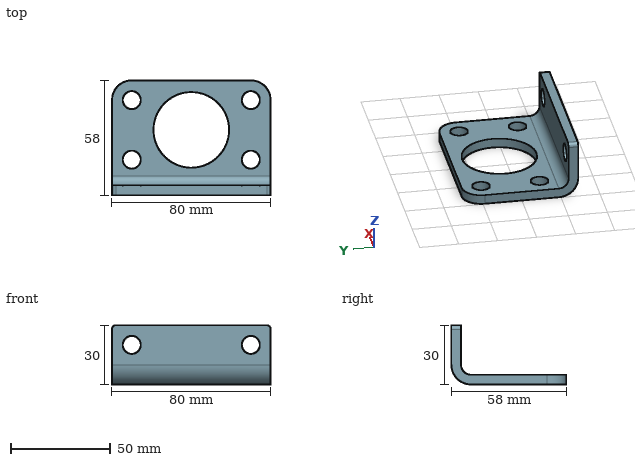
import cadquery as cq

width = 80.0
depth = 58.0
height = 30.0

bend_outer_radius = 10.0
thickness = bend_outer_radius / 2
bend_inner_radius = bend_outer_radius - thickness

base_corner_radius = 10.0
flange_corner_radius = 2.0

bolt_diameter = 9.0
bolt_edge_distance = 10.0
base_bolt_pitch_y = 30.0
bore_diameter = 38.0

bolt_x = width / 2 - bolt_edge_distance
rear_bolt_y = depth - bolt_edge_distance
front_bolt_y = rear_bolt_y - base_bolt_pitch_y
bore_y = (rear_bolt_y + front_bolt_y) / 2
flange_bolt_z = height - bolt_edge_distance


def bent_sheet():
    """L-shaped sheet, extruded along X; outer flange face at Y=0, underside at Z=0."""
    profile = (
        cq.Workplane("YZ")
        .moveTo(0, height)
        .lineTo(thickness, height)
        .lineTo(thickness, bend_outer_radius)
        .radiusArc((bend_outer_radius, thickness), -bend_inner_radius)
        .lineTo(depth, thickness)
        .lineTo(depth, 0)
        .lineTo(bend_outer_radius, 0)
        .radiusArc((0, bend_outer_radius), bend_outer_radius)
        .close()
    )
    return profile.extrude(width / 2, both=True)


def round_corners(body):
    """Round the rear base corners and the upper flange corners."""
    body = body.faces(">Y").edges("|Z").fillet(base_corner_radius)
    return body.faces(">Z").edges("|Y").fillet(flange_corner_radius)


def base_holes():
    """Cutters for the central bore and the four bolt holes around it."""
    bolt_points = [(x, y) for x in (-bolt_x, bolt_x) for y in (front_bolt_y, rear_bolt_y)]
    bolts = cq.Workplane("XY").pushPoints(bolt_points).circle(bolt_diameter / 2).extrude(thickness)
    bore = cq.Workplane("XY").center(0, bore_y).circle(bore_diameter / 2).extrude(thickness)
    return bolts.union(bore)


def flange_holes():
    """Cutters for the two bolt holes through the upright flange."""
    bolt_points = [(x, flange_bolt_z) for x in (-bolt_x, bolt_x)]
    return cq.Workplane("XZ").pushPoints(bolt_points).circle(bolt_diameter / 2).extrude(-thickness)


result = round_corners(bent_sheet()).cut(base_holes()).cut(flange_holes())